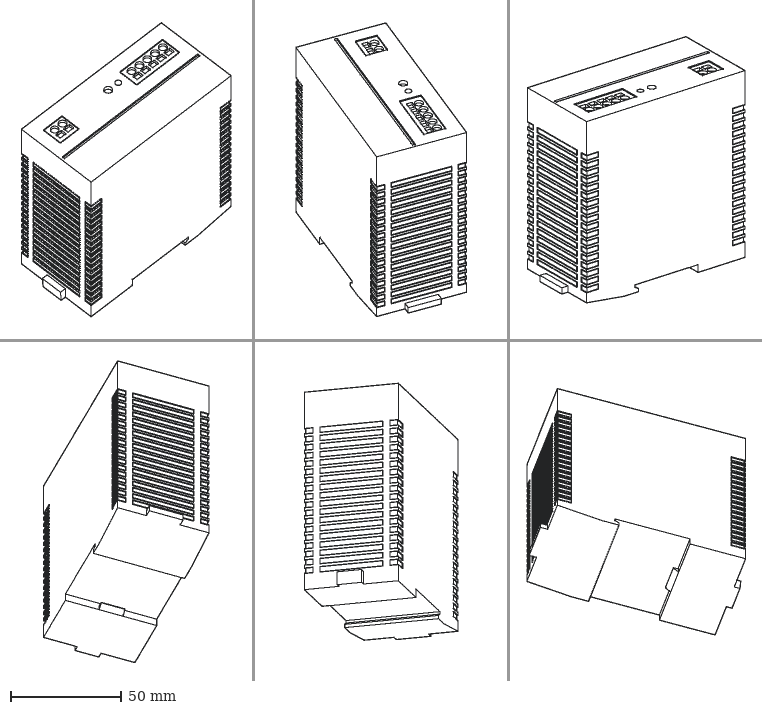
import cadquery as cq

WIDTH = 44.8
OVERALL_LENGTH = 96.5
LENGTH = 89.9
HEIGHT = 94.0
FRONT_Y = -LENGTH / 2
BACK_Y = LENGTH / 2

RECESS_HEIGHT = 4.0
RECESS_FRONT_Y = -18.3
RECESS_BACK_Y = 17.5
FOOT_TIP_Y = 15.4
FOOT_TIP_HEIGHT = 1.5
FOOT_HOOK_TOP = 2.8
SLOPE_START_Y = 23.5
SLOPE_END_HEIGHT = 2.8

SLIDER_WIDTH = 11.7
TAB_LENGTH = 3.1
TAB_HEIGHT = 6.0
TAB_TAPER = 0.4
HOOK_REACH = 2.5
HOOK_TOP = 2.4
HOOK_LIP = 0.3

LUG_WIDTH = 16.5
LUG_LENGTH = OVERALL_LENGTH - LENGTH - TAB_LENGTH
LUG_TOP = TAB_HEIGHT

VENT_ROWS = 18
VENT_SPAN = 66.4
VENT_PITCH = VENT_SPAN / (VENT_ROWS - 1)
VENT_HEIGHT = 2.5
VENT_BOTTOM = 7.8
VENT_DEPTH = 0.5
VENT_WIDTH = 29.9
CORNER_VENT_X = 4.1
CORNER_VENT_Y = 6.85

GROOVE_X = 3.2
GROOVE_WIDTH = 1.4
GROOVE_LENGTH = 86.85
GROOVE_DEPTH = 1.0

BLOCK_X = -9.6
BLOCK_WIDTH = 10.8
BLOCK_DEPTH = 0.6
BLOCK_A_Y = 24.6
BLOCK_A_LENGTH = 27.4
BLOCK_A_FIRST_Y = 35.4
BLOCK_A_POLES = 5
BLOCK_B_Y = -32.2
BLOCK_B_LENGTH = 11.9
BLOCK_B_FIRST_Y = -29.0
BLOCK_B_POLES = 2
POLE_PITCH = 5.0
WIRE_HOLE_X = -11.9
WIRE_HOLE_DIAMETER = 4.1
RELEASE_X = -7.9
RELEASE_WIDTH = 2.8
RELEASE_LENGTH = 3.7
POLE_DEPTH = 1.4

LAMP_X = -10.9
LAMP_Y = 5.8
LAMP_DIAMETER = 3.1
LAMP_DEPTH = 0.1
ADJUSTER_X = -11.1
ADJUSTER_Y = -0.5
ADJUSTER_DIAMETER = 4.1
ADJUSTER_DEPTH = 1.9


def extrude_across(points, width):
    """Extrude a (Y, Z) outline along X, symmetric about the middle plane."""
    return cq.Workplane("YZ").polyline(points).close().extrude(width / 2, both=True)


def box_on(x, y, bottom, size_x, size_y, size_z):
    """Box centred at (x, y) with its lower face at the given height."""
    box = cq.Workplane("XY").box(size_x, size_y, size_z, centered=(True, True, False))
    return box.translate((x, y, bottom))


def cylinder_on(x, y, bottom, diameter, height):
    """Upright cylinder with its lower face at the given height."""
    return cq.Workplane("XY").circle(diameter / 2).extrude(height).translate((x, y, bottom))


def make_housing():
    return extrude_across(
        [
            (FRONT_Y, 0),
            (RECESS_FRONT_Y, 0),
            (RECESS_FRONT_Y, RECESS_HEIGHT),
            (RECESS_BACK_Y, RECESS_HEIGHT),
            (RECESS_BACK_Y, FOOT_HOOK_TOP),
            (FOOT_TIP_Y, FOOT_TIP_HEIGHT),
            (FOOT_TIP_Y, 0),
            (SLOPE_START_Y, 0),
            (BACK_Y, SLOPE_END_HEIGHT),
            (BACK_Y, HEIGHT),
            (FRONT_Y, HEIGHT),
        ],
        WIDTH,
    )


def make_slider():
    tab_y = FRONT_Y - TAB_LENGTH
    tab = extrude_across(
        [
            (FRONT_Y, 0),
            (FRONT_Y, TAB_HEIGHT),
            (tab_y, TAB_HEIGHT),
            (tab_y + TAB_TAPER, 0),
        ],
        SLIDER_WIDTH,
    )
    hook_y = RECESS_FRONT_Y + HOOK_REACH
    hook = extrude_across(
        [
            (RECESS_FRONT_Y, 0),
            (hook_y, HOOK_TOP - HOOK_LIP),
            (hook_y, HOOK_TOP),
            (RECESS_FRONT_Y, HOOK_TOP),
        ],
        SLIDER_WIDTH,
    )
    return tab.union(hook)


def make_lug():
    lug_height = LUG_TOP - SLOPE_END_HEIGHT
    return box_on(0, BACK_Y + LUG_LENGTH / 2, SLOPE_END_HEIGHT, LUG_WIDTH, LUG_LENGTH, lug_height)


def make_vent_row(bottom):
    """Slots of one row: the wall slots plus an L-shaped slot around each corner."""
    row = cq.Workplane("XY")
    for side_y in (-1, 1):
        wall_y = side_y * BACK_Y
        row = row.add(box_on(0, wall_y, bottom, VENT_WIDTH, 2 * VENT_DEPTH, VENT_HEIGHT))
        for side_x in (-1, 1):
            wall_x = side_x * WIDTH / 2
            row = row.add(
                box_on(wall_x, wall_y, bottom, 2 * CORNER_VENT_X, 2 * VENT_DEPTH, VENT_HEIGHT)
            )
            row = row.add(
                box_on(wall_x, wall_y, bottom, 2 * VENT_DEPTH, 2 * CORNER_VENT_Y, VENT_HEIGHT)
            )
    return row.combine()


def make_terminal_block(center_y, length, first_y, poles):
    """Cutter for one terminal block."""
    floor = HEIGHT - BLOCK_DEPTH
    hole_bottom = floor - POLE_DEPTH
    cutter = box_on(BLOCK_X, center_y, floor, BLOCK_WIDTH, length, BLOCK_DEPTH)
    for pole in range(poles):
        y = first_y - pole * POLE_PITCH
        cutter = cutter.union(cylinder_on(WIRE_HOLE_X, y, hole_bottom, WIRE_HOLE_DIAMETER, POLE_DEPTH))
        cutter = cutter.union(
            box_on(RELEASE_X, y, hole_bottom, RELEASE_WIDTH, RELEASE_LENGTH, POLE_DEPTH)
        )
    return cutter


housing = make_housing()
for row_index in range(VENT_ROWS):
    housing = housing.cut(make_vent_row(VENT_BOTTOM + row_index * VENT_PITCH))

housing = housing.cut(
    box_on(GROOVE_X, 0, HEIGHT - GROOVE_DEPTH, GROOVE_WIDTH, GROOVE_LENGTH, GROOVE_DEPTH)
)
housing = housing.cut(
    make_terminal_block(BLOCK_A_Y, BLOCK_A_LENGTH, BLOCK_A_FIRST_Y, BLOCK_A_POLES)
)
housing = housing.cut(
    make_terminal_block(BLOCK_B_Y, BLOCK_B_LENGTH, BLOCK_B_FIRST_Y, BLOCK_B_POLES)
)
housing = housing.cut(
    cylinder_on(ADJUSTER_X, ADJUSTER_Y, HEIGHT - ADJUSTER_DEPTH, ADJUSTER_DIAMETER, ADJUSTER_DEPTH)
)
housing = housing.cut(
    cylinder_on(LAMP_X, LAMP_Y, HEIGHT - LAMP_DEPTH, LAMP_DIAMETER, LAMP_DEPTH)
)

result = housing.union(make_slider()).union(make_lug())